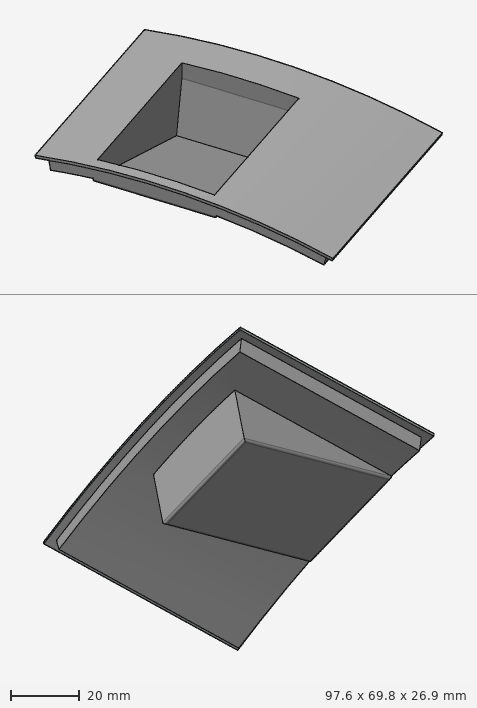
import cadquery as cq
import math

plate_length = 97.57
plate_width = 69.85
crest_from_left = 37.8
top_radius = 233.5
flange_thickness = 1.02
plate_thickness = 6.35
body_end_inset = 2.8
body_side_inset = 2.54

part_height = 26.89
floor_angle = math.radians(19.7)
pocket_length = 38.3
pocket_front = 3.6
pocket_back_margin = 12.5
pocket_back = plate_width - pocket_back_margin
pocket_back_angle = math.radians(10.5)
side_wall = 1.0
floor_wall_height = 2.9
back_wall = 1.8
housing_back = pocket_back + back_wall
housing_back_angle = math.radians(10)
housing_edge_radius = 0.78

x_left = -crest_from_left
x_right = plate_length - crest_from_left
body_front = body_side_inset
body_back = plate_width - body_side_inset
housing_length = pocket_length + 2 * side_wall


def arc_point(radius, angle):
    """Point in the XZ plane on an arc about the plate's axis, angle measured from the crest."""
    return (radius * math.sin(angle), radius * math.cos(angle) - top_radius)


def arched_slab(outer_radius, inner_radius, left_angle, right_angle, front, back):
    """Slab between two concentric arcs with radial ends, extruded along Y."""
    middle_angle = (left_angle + right_angle) / 2
    profile = (
        cq.Workplane("XZ", origin=(0, front, 0))
        .moveTo(*arc_point(outer_radius, left_angle))
        .threePointArc(arc_point(outer_radius, middle_angle), arc_point(outer_radius, right_angle))
        .lineTo(*arc_point(inner_radius, right_angle))
        .threePointArc(arc_point(inner_radius, middle_angle), arc_point(inner_radius, left_angle))
        .close()
    )
    return profile.extrude(front - back)


def wedge(front, back, corner_y, corner_depth, top, length):
    """Wedge centred on X = 0.

    The front is upright. The back is upright down to the plate's underside and then leans
    forward to the deepest corner, from which the floor rises to the front.
    """
    front_depth = corner_depth - (corner_y - front) * math.tan(floor_angle)
    profile = (
        cq.Workplane("YZ", origin=(-length / 2, 0, 0))
        .moveTo(back, top)
        .lineTo(back, -plate_thickness)
        .lineTo(corner_y, -corner_depth)
        .lineTo(front, -front_depth)
        .lineTo(front, top)
        .close()
    )
    return profile.extrude(length)


def make_plate():
    """Thin arched flange over a thicker body that is inset on all four sides."""
    left_angle = math.asin(x_left / top_radius)
    right_angle = math.asin(x_right / top_radius)
    flange_radius = top_radius - flange_thickness
    inset_angle = body_end_inset / flange_radius
    flange = arched_slab(top_radius, flange_radius, left_angle, right_angle, 0, plate_width)
    body = arched_slab(
        flange_radius,
        top_radius - plate_thickness,
        left_angle + inset_angle,
        right_angle - inset_angle,
        body_front,
        body_back,
    )
    return flange.union(body)


def housing_corner():
    """Y and depth of the housing's deepest corner before it is rounded.

    Rounding lifts the lowest point, so the sharp corner lies slightly below the part's height.
    """
    half_angle = (math.pi / 2 + housing_back_angle - floor_angle) / 2
    corner_to_centre = housing_edge_radius / math.sin(half_angle)
    lift = corner_to_centre * math.sin(floor_angle + half_angle) - housing_edge_radius
    depth = part_height + lift
    y = housing_back - (depth - plate_thickness) * math.tan(housing_back_angle)
    return y, depth


def make_housing():
    """Outer wedge with all edges of its floor rounded and its top buried in the plate."""
    corner_y, corner_depth = housing_corner()
    housing = wedge(
        body_front,
        housing_back,
        corner_y,
        corner_depth,
        -plate_thickness / 2,
        housing_length,
    )
    toward_floor = cq.Vector(0, -math.sin(floor_angle), -math.cos(floor_angle))
    floor = housing.faces(cq.DirectionMinMaxSelector(toward_floor))
    return floor.edges().fillet(housing_edge_radius)


def make_pocket():
    """Cavity of the scoop, open through the top, its floor parallel to the housing's floor."""
    outer_y, outer_depth = housing_corner()
    back_slope = math.tan(pocket_back_angle)
    floor_slope = math.tan(floor_angle)
    depth_at_back = outer_depth - floor_wall_height - (pocket_back - outer_y) * floor_slope
    lean = (depth_at_back - plate_thickness) * back_slope / (1 - back_slope * floor_slope)
    return wedge(
        pocket_front,
        pocket_back,
        pocket_back - lean,
        depth_at_back + lean * floor_slope,
        0,
        pocket_length,
    )


result = make_plate().union(make_housing()).cut(make_pocket())